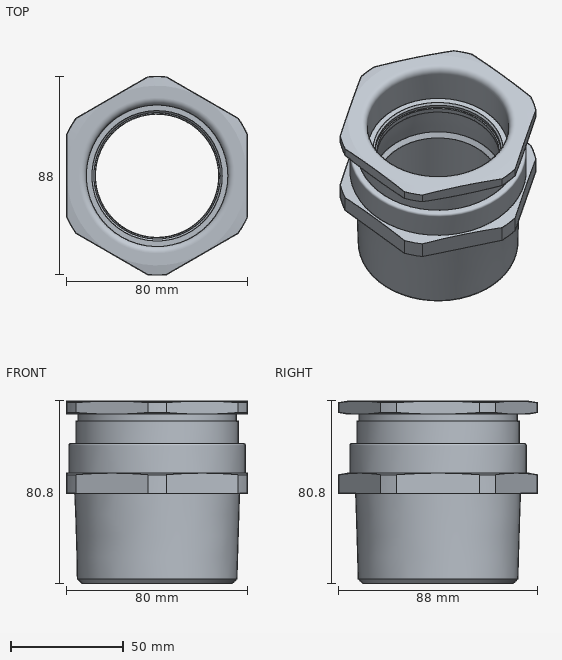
import cadquery as cq
import math

ACROSS_FLATS = 80.0
CORNER_DIAMETER = 88.0
HEX_CHAMFER_ANGLE = 10.0

TOTAL_HEIGHT = 80.8
NUT_HEX_BOTTOM = 75.0
NECK_BOTTOM = 71.9
COLLAR_TOP = 62.0
NUT_BOTTOM = 59.75
BODY_HEX_TOP = 49.0
BODY_HEX_BOTTOM = 39.9

NUT_FACE_RADIUS = 39.8
NECK_RADIUS = 35.1
SPIGOT_RADIUS = 36.0
NUT_BORE_RADIUS = 31.3
NUT_BORE_FLOOR = COLLAR_TOP
MOUTH_FILLET = 3.1
LIP_RADIUS = 28.0
LIP_CHAMFER = 0.9

COLLAR_RADIUS = 39.1
COLLAR_FILLET = 1.0
TAPER_TOP_RADIUS = 36.5
TAPER_BOTTOM_RADIUS = 35.4
BOTTOM_CHAMFER = 2.1

BODY_BORE_RADIUS = 27.3
SEAT_THICKNESS = 2.3
CHAMBER_TOP = NUT_BOTTOM - SEAT_THICKNESS
CHAMBER_TOP_RADIUS = 27.9
CHAMBER_BOTTOM_RADIUS = 29.2
CHAMBER_BOTTOM = 42.5
SHOULDER_DROP = CHAMBER_BOTTOM_RADIUS - BODY_BORE_RADIUS


def cylinder(radius, bottom, top):
    return cq.Workplane("XY").workplane(offset=bottom).circle(radius).extrude(top - bottom)


def revolved(profile):
    """Turn a closed list of (radius, height) points around the Z axis."""
    return cq.Workplane("XZ").polyline(profile).close().revolve(360, (0, 0, 0), (0, 1, 0))


def hexagon(bottom, top, face_radius, chamfer_bottom):
    """Hexagon with turned corners, coned off outside face_radius on top and optionally below."""
    corner_radius = CORNER_DIAMETER / 2
    drop = (corner_radius - face_radius) * math.tan(math.radians(HEX_CHAMFER_ANGLE))
    turned_blank = [
        (corner_radius, top - drop),
        (face_radius, top),
        (0, top),
        (0, bottom),
    ]
    if chamfer_bottom:
        turned_blank += [(face_radius, bottom), (corner_radius, bottom + drop)]
    else:
        turned_blank += [(corner_radius, bottom)]
    prism = (
        cq.Workplane("XY")
        .workplane(offset=bottom)
        .polygon(6, ACROSS_FLATS, circumscribed=True)
        .extrude(top - bottom)
    )
    return prism.intersect(revolved(turned_blank))


def make_gland_nut():
    nut = hexagon(NUT_HEX_BOTTOM, TOTAL_HEIGHT, NUT_FACE_RADIUS, chamfer_bottom=True)
    nut = nut.union(cylinder(NECK_RADIUS, NECK_BOTTOM, NUT_HEX_BOTTOM))
    nut = nut.union(cylinder(SPIGOT_RADIUS, NUT_BOTTOM, NECK_BOTTOM))

    bore = cylinder(NUT_BORE_RADIUS, NUT_BORE_FLOOR, TOTAL_HEIGHT)
    lip_hole = revolved([
        (0, NUT_BOTTOM),
        (LIP_RADIUS, NUT_BOTTOM),
        (LIP_RADIUS, NUT_BORE_FLOOR - LIP_CHAMFER),
        (LIP_RADIUS + LIP_CHAMFER, NUT_BORE_FLOOR),
        (0, NUT_BORE_FLOOR),
    ])
    nut = nut.cut(bore).cut(lip_hole)

    mouth_edge = cq.selectors.RadiusNthSelector(0)
    return nut.faces(">Z").edges("%CIRCLE").edges(mouth_edge).fillet(MOUTH_FILLET)


def make_body():
    collar = cylinder(COLLAR_RADIUS, BODY_HEX_TOP, COLLAR_TOP).faces(">Z").edges().fillet(COLLAR_FILLET)
    tapered_end = revolved([
        (0, 0),
        (TAPER_BOTTOM_RADIUS - BOTTOM_CHAMFER, 0),
        (TAPER_BOTTOM_RADIUS, BOTTOM_CHAMFER),
        (TAPER_TOP_RADIUS, BODY_HEX_BOTTOM),
        (0, BODY_HEX_BOTTOM),
    ])
    body = hexagon(BODY_HEX_BOTTOM, BODY_HEX_TOP, COLLAR_RADIUS, chamfer_bottom=False)
    body = body.union(collar).union(tapered_end)

    nut_socket = cylinder(SPIGOT_RADIUS, NUT_BOTTOM, COLLAR_TOP)
    passage = revolved([
        (0, 0),
        (BODY_BORE_RADIUS, 0),
        (BODY_BORE_RADIUS, CHAMBER_BOTTOM - SHOULDER_DROP),
        (CHAMBER_BOTTOM_RADIUS, CHAMBER_BOTTOM),
        (CHAMBER_TOP_RADIUS, CHAMBER_TOP),
        (BODY_BORE_RADIUS, CHAMBER_TOP),
        (BODY_BORE_RADIUS, NUT_BOTTOM),
        (0, NUT_BOTTOM),
    ])
    return body.cut(nut_socket).cut(passage)


gland_nut = make_gland_nut()
body = make_body()
result = cq.Compound.makeCompound([gland_nut.val(), body.val()])